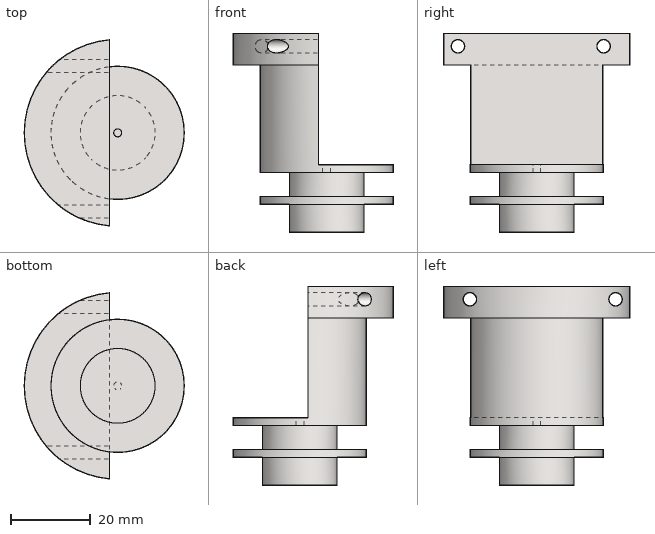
import cadquery as cq

shaft_diameter = 18.8
disc_diameter = 33.5
disc_thickness = 2.0
lower_disc_bottom = 7.0
disc_gap = 6.0
total_height = 50.0
collar_diameter = 47.0
collar_height = 8.0
flat_x = -2.0
center_hole_diameter = 2.0
center_hole_depth = 2.0
cross_hole_diameter = 3.3
cross_hole_spacing = 36.6
cross_hole_center_y = -1.5
cross_hole_drop = 3.25

upper_disc_bottom = lower_disc_bottom + disc_thickness + disc_gap
upper_disc_top = upper_disc_bottom + disc_thickness
collar_bottom = total_height - collar_height
cross_hole_z = total_height - cross_hole_drop


def cylinder(diameter, bottom, top):
    """Upright cylinder on the shaft axis between two levels."""
    return cq.Workplane("XY").workplane(offset=bottom).circle(diameter / 2).extrude(top - bottom)


def spool():
    """Shaft carrying two thin discs."""
    body = cylinder(shaft_diameter, 0, upper_disc_top)
    for bottom in (lower_disc_bottom, upper_disc_bottom):
        body = body.union(cylinder(disc_diameter, bottom, bottom + disc_thickness))
    return body


def half_column():
    """Column and wider top collar, kept only on the -X side of the flat."""
    column = cylinder(disc_diameter, upper_disc_top, total_height)
    collar = cylinder(collar_diameter, collar_bottom, total_height)
    keep = (
        cq.Workplane("XY", origin=(flat_x, 0, upper_disc_top))
        .rect(2 * collar_diameter, 2 * collar_diameter)
        .extrude(total_height - upper_disc_top)
        .translate((-collar_diameter, 0, 0))
    )
    return column.union(collar).intersect(keep)


def cross_holes():
    """Pair of holes along X through the two ends of the collar."""
    return (
        cq.Workplane("YZ", origin=(-collar_diameter / 2, cross_hole_center_y, cross_hole_z))
        .pushPoints([(-cross_hole_spacing / 2, 0), (cross_hole_spacing / 2, 0)])
        .circle(cross_hole_diameter / 2)
        .extrude(collar_diameter / 2)
    )


def center_hole():
    """Small blind hole on the axis, sunk into the top of the upper disc."""
    return cylinder(center_hole_diameter, upper_disc_top - center_hole_depth, upper_disc_top)


result = spool().union(half_column()).cut(cross_holes()).cut(center_hole())